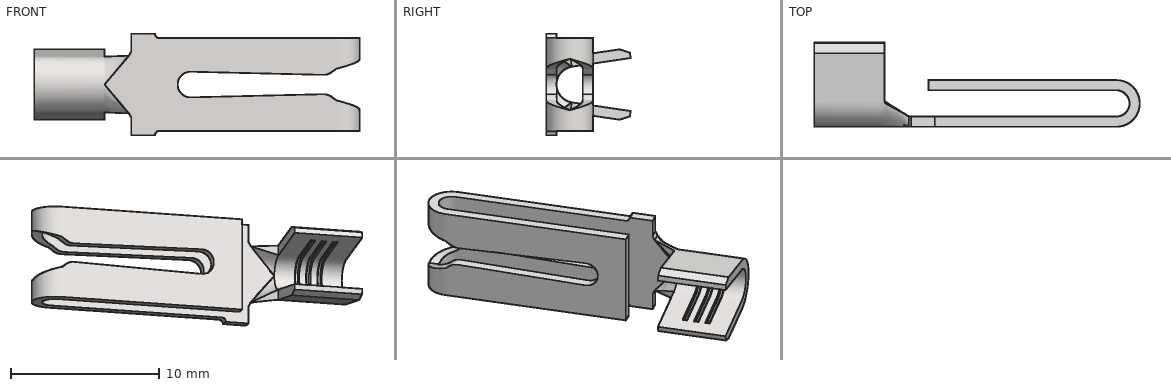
import cadquery as cq
import math

total_length = 21.97
sheet = 0.7

blade_start = 6.55
back_leg_start = 7.71
blade_half_width = 3.15
shoulder_half_width = 3.43
shoulder_end = 8.15
bend_outer_radius = 1.58
bend_x = total_length - bend_outer_radius
blade_depth = 2 * bend_outer_radius

slot_end_radius = 0.85
slot_end_x = 10.55
throat_x = 19.8
throat_half_width = 0.64
throat_rounding = 0.88
mouth_half_at_bend = 1.05
mouth_half_at_tip = 1.74

barrel_length = 4.75
barrel_depth = 5.71
barrel_outer_radius = 1.91
barrel_inner_radius = barrel_outer_radius - sheet
leg_tilt = math.radians(8.4)
tip_chamfer_along = 0.65
tip_chamfer_across = 0.33

groove_count = 3
groove_pitch = 0.8
groove_width = 0.33
groove_floor = 0.15
groove_depth = 0.1
groove_top_y = 4.6

neck_end = 6.4
neck_half_width = 1.95
neck_pinch = 0.01
root_half_width = 2.25


def mirrored_in_z(body):
    return body.union(body.mirror("XY"))


def tangent_point(radius):
    """Where the round barrel bottom runs into the straight leg."""
    y = barrel_outer_radius - radius * math.sin(leg_tilt)
    z = radius * math.cos(leg_tilt)
    return y, z


def arc_middle(radius):
    """Halfway round the arc from the barrel bottom to the leg."""
    angle = (math.pi / 2 + leg_tilt) / 2
    return barrel_outer_radius - radius * math.sin(angle), radius * math.cos(angle)


def leg_point(radius, distance):
    """Point on a leg face, measured along the leg from the tangent point."""
    y, z = tangent_point(radius)
    return y + distance * math.cos(leg_tilt), z + distance * math.sin(leg_tilt)


def flip(point):
    return point[0], -point[1]


def make_barrel():
    inner_length = (barrel_depth - tangent_point(barrel_inner_radius)[0]) / math.cos(leg_tilt)
    inner_tip = leg_point(barrel_inner_radius, inner_length)
    bevel_tip = leg_point(barrel_outer_radius - tip_chamfer_across, inner_length)
    bevel_root = leg_point(barrel_outer_radius, inner_length - tip_chamfer_along)
    outer_tangent = tangent_point(barrel_outer_radius)
    inner_tangent = tangent_point(barrel_inner_radius)
    return (
        cq.Workplane("YZ")
        .moveTo(*outer_tangent)
        .threePointArc((0, 0), flip(outer_tangent))
        .lineTo(*flip(bevel_root))
        .lineTo(*flip(bevel_tip))
        .lineTo(*flip(inner_tip))
        .lineTo(*flip(inner_tangent))
        .threePointArc((sheet, 0), inner_tangent)
        .lineTo(*inner_tip)
        .lineTo(*bevel_tip)
        .lineTo(*bevel_root)
        .close()
        .extrude(barrel_length)
    )


def make_groove(x):
    """Trapezoidal groove following the inside of the U from leg to leg."""
    tangent = tangent_point(barrel_inner_radius)
    run = (groove_top_y - tangent[0]) / math.cos(leg_tilt)
    end = leg_point(barrel_inner_radius, run)
    path = (
        cq.Workplane("YZ", origin=(x, 0, 0))
        .moveTo(*flip(end))
        .lineTo(*flip(tangent))
        .threePointArc((sheet, 0), tangent)
        .lineTo(*end)
    )
    start_plane = cq.Plane(
        origin=(x, end[0], -end[1]),
        xDir=(1, 0, 0),
        normal=(0, -math.cos(leg_tilt), math.sin(leg_tilt)),
    )
    section = cq.Workplane(start_plane).polyline([
        (-groove_width / 2, 0),
        (-groove_floor / 2, -groove_depth),
        (groove_floor / 2, -groove_depth),
        (groove_width / 2, 0),
    ]).close()
    return section.sweep(path, transition="round")


def make_neck():
    """Each half runs from the curved barrel section to a sharp corner of the flat blade."""
    outer_tangent = tangent_point(barrel_outer_radius)
    inner_tangent = tangent_point(barrel_inner_radius)
    pinch_start = neck_half_width - neck_pinch
    cone = (
        cq.Workplane("YZ", origin=(barrel_length, 0, 0))
        .moveTo(0, 0)
        .threePointArc(arc_middle(barrel_outer_radius), outer_tangent)
        .lineTo(*inner_tangent)
        .threePointArc(arc_middle(barrel_inner_radius), (sheet, 0))
        .close()
        .workplane(offset=neck_end - barrel_length)
        .moveTo(0, pinch_start)
        .lineTo(0, neck_half_width)
        .lineTo(sheet, neck_half_width)
        .lineTo(sheet, pinch_start)
        .close()
        .loft(ruled=True)
    )
    web = (
        cq.Workplane("XZ")
        .moveTo(barrel_length, 0)
        .lineTo(neck_end, pinch_start)
        .lineTo(neck_end, neck_half_width)
        .lineTo(blade_start, root_half_width)
        .lineTo(blade_start, 0)
        .close()
        .extrude(-sheet)
    )
    return mirrored_in_z(cone.union(web))


def make_folded_strip():
    """Two parallel legs joined by a half-round fold."""
    inner_radius = bend_outer_radius - sheet
    return (
        cq.Workplane("XY")
        .moveTo(blade_start, 0)
        .lineTo(bend_x, 0)
        .threePointArc((total_length, bend_outer_radius), (bend_x, blade_depth))
        .lineTo(back_leg_start, blade_depth)
        .lineTo(back_leg_start, blade_depth - sheet)
        .lineTo(bend_x, blade_depth - sheet)
        .threePointArc((bend_x + inner_radius, bend_outer_radius), (bend_x, sheet))
        .lineTo(blade_start, sheet)
        .close()
        .extrude(blade_half_width, both=True)
    )


def make_shoulder():
    """Raised edge at the start of the front leg, with a round step down to the blade."""
    step = shoulder_half_width - blade_half_width
    diagonal = step * (1 - math.sqrt(0.5))
    half = (
        cq.Workplane("XZ")
        .moveTo(blade_start, 0)
        .lineTo(blade_start, shoulder_half_width)
        .lineTo(shoulder_end, shoulder_half_width)
        .threePointArc(
            (shoulder_end + diagonal, blade_half_width + diagonal),
            (shoulder_end + step, blade_half_width),
        )
        .lineTo(shoulder_end + step, 0)
        .close()
        .extrude(-sheet)
    )
    return mirrored_in_z(half)


def make_slot():
    """Tapered slot with a round end through both legs, up to the start of the fold."""
    slot = (
        cq.Workplane("XZ")
        .moveTo(slot_end_x, slot_end_radius)
        .lineTo(throat_x, throat_half_width)
        .lineTo(bend_x, mouth_half_at_bend)
        .lineTo(bend_x, -mouth_half_at_bend)
        .lineTo(throat_x, -throat_half_width)
        .lineTo(slot_end_x, -slot_end_radius)
        .threePointArc((slot_end_x - slot_end_radius, 0), (slot_end_x, slot_end_radius))
        .close()
        .extrude(-blade_depth)
    )
    throat_edges = cq.selectors.BoxSelector(
        (throat_x - throat_rounding / 4, 0, -blade_half_width),
        (throat_x + throat_rounding / 4, blade_depth, blade_half_width),
    )
    return slot.edges("|Y").edges(throat_edges).fillet(throat_rounding)


def make_mouth():
    """Opening in the fold; its edge climbs steadily with the angle round the fold."""
    reach = bend_outer_radius + sheet
    rise = mouth_half_at_tip - mouth_half_at_bend
    middle = (
        cq.Workplane("XY", origin=(bend_x, bend_outer_radius, -mouth_half_at_bend))
        .move(0, -reach)
        .rect(reach, 2 * reach, centered=False)
        .extrude(2 * mouth_half_at_bend)
    )
    quarter_block = (
        cq.Workplane("XY", origin=(bend_x, bend_outer_radius, mouth_half_at_bend))
        .rect(reach, -reach, centered=False)
        .extrude(rise)
    )
    twisted = (
        cq.Workplane("XY", origin=(bend_x, bend_outer_radius, mouth_half_at_bend))
        .lineTo(0, -reach)
        .radiusArc((reach, 0), -reach)
        .close()
        .twistExtrude(rise, 90)
    )
    front = twisted.intersect(quarter_block)
    back = front.mirror("XZ", (0, bend_outer_radius, 0))
    return middle.union(mirrored_in_z(front.union(back)))


barrel = make_barrel()
for index in range(groove_count):
    offset = (index - (groove_count - 1) / 2) * groove_pitch
    barrel = barrel.cut(make_groove(barrel_length / 2 + offset))

blade = make_folded_strip().union(make_shoulder()).cut(make_slot()).cut(make_mouth())

result = barrel.union(make_neck()).union(blade)